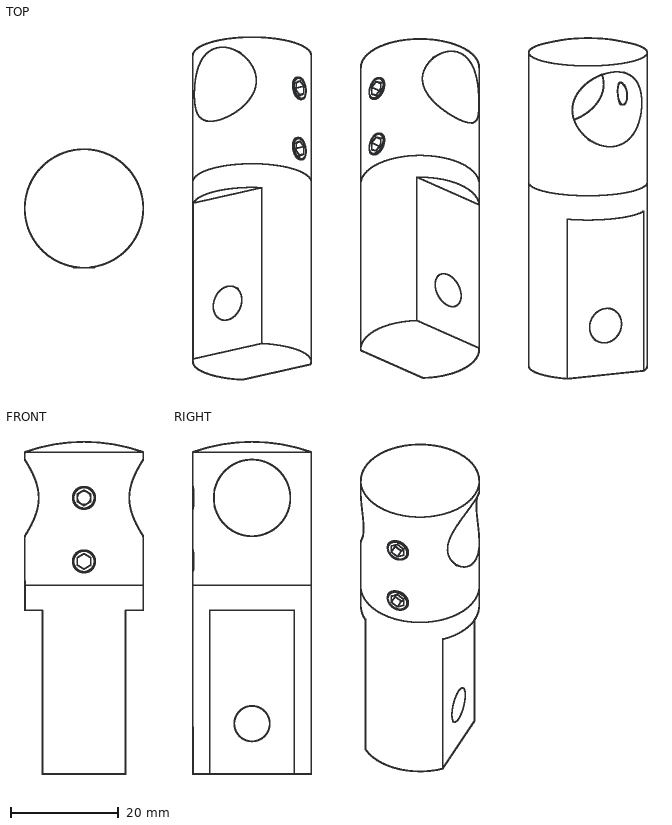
import cadquery as cq
import math

total_height = 61.6
outer_diameter = 22.0
outer_radius = outer_diameter / 2

joint_z = 35.0
tongue_top_z = 30.35
tongue_thickness = 15.45
pin_hole_diameter = 6.5
pin_hole_z = 9.35

dome_height = 1.9
dome_base_z = total_height - dome_height
bore_diameter = 14.15
bore_z = 51.2

screw_diameter = 4.2
screw_radius = screw_diameter / 2
screw_chamfer = 0.2
screw_length = 4.0
socket_across_flats = 2.45
socket_depth = 1.85
drill_tip_height = 0.75
upper_screw_z = bore_z
lower_screw_z = 39.4
screw_face_y = -outer_radius
screw_end_y = screw_face_y + screw_length
socket_floor_y = screw_face_y + socket_depth


def make_cross_cylinder(diameter, z):
    """Cylinder along X through the whole part, used to cut a cross hole."""
    return (
        cq.Workplane("YZ", origin=(0, 0, z))
        .circle(diameter / 2)
        .extrude(outer_radius, both=True)
    )


def make_stem():
    """Round stem with two flats and a cross hole through the tongue."""
    stem = cq.Workplane("XY").circle(outer_radius).extrude(joint_z)
    flat_depth = outer_radius - tongue_thickness / 2
    for side in (-1, 1):
        flat = (
            cq.Workplane("XY")
            .center(side * (tongue_thickness + flat_depth) / 2, 0)
            .rect(flat_depth, outer_diameter)
            .extrude(tongue_top_z)
        )
        stem = stem.cut(flat)
    return stem.cut(make_cross_cylinder(pin_hole_diameter, pin_hole_z))


def make_screw_hole(z, inner_y):
    """Cylinder along Y from inner_y out through the -Y wall of the head."""
    return (
        cq.Workplane("XZ", origin=(0, inner_y, z))
        .circle(screw_radius)
        .extrude(outer_radius + inner_y)
    )


def make_head():
    """Domed round head with a cross bore and two screw holes."""
    dome_radius = (outer_radius**2 + dome_height**2) / (2 * dome_height)
    mid_radius = outer_radius / 2
    mid_z = total_height - dome_radius + math.sqrt(dome_radius**2 - mid_radius**2)
    head = (
        cq.Workplane("XZ")
        .moveTo(0, joint_z)
        .lineTo(outer_radius, joint_z)
        .lineTo(outer_radius, dome_base_z)
        .threePointArc((mid_radius, mid_z), (0, total_height))
        .close()
        .revolve(360, (0, 0, 0), (0, 1, 0))
    )
    head = head.cut(make_cross_cylinder(bore_diameter, bore_z))
    head = head.cut(make_screw_hole(upper_screw_z, 0))
    return head.cut(make_screw_hole(lower_screw_z, screw_end_y))


def make_set_screw(z, tip_height):
    """Set screw along Y with a hex socket; a tip height above zero adds a conical socket end."""
    screw = (
        cq.Workplane("XZ", origin=(0, screw_end_y, z))
        .circle(screw_radius)
        .extrude(screw_length)
        .faces("<Y")
        .chamfer(screw_chamfer)
    )
    across_corners = socket_across_flats / math.cos(math.radians(30))
    socket = (
        cq.Workplane("XZ", origin=(0, socket_floor_y, z))
        .transformed(rotate=(0, 0, 30))
        .polygon(6, across_corners)
        .extrude(socket_depth)
    )
    screw = screw.cut(socket)
    if tip_height > 0:
        tip = cq.Solid.makeCone(
            socket_across_flats / 2,
            0,
            tip_height,
            cq.Vector(0, socket_floor_y, z),
            cq.Vector(0, 1, 0),
        )
        screw = screw.cut(cq.Workplane(tip))
    return screw


stem = make_stem()
head = make_head()
set_screws = [
    make_set_screw(z, tip_height).val()
    for z, tip_height in ((lower_screw_z, 0), (upper_screw_z, drill_tip_height))
]

result = cq.Compound.makeCompound([stem.val(), head.val(), *set_screws])